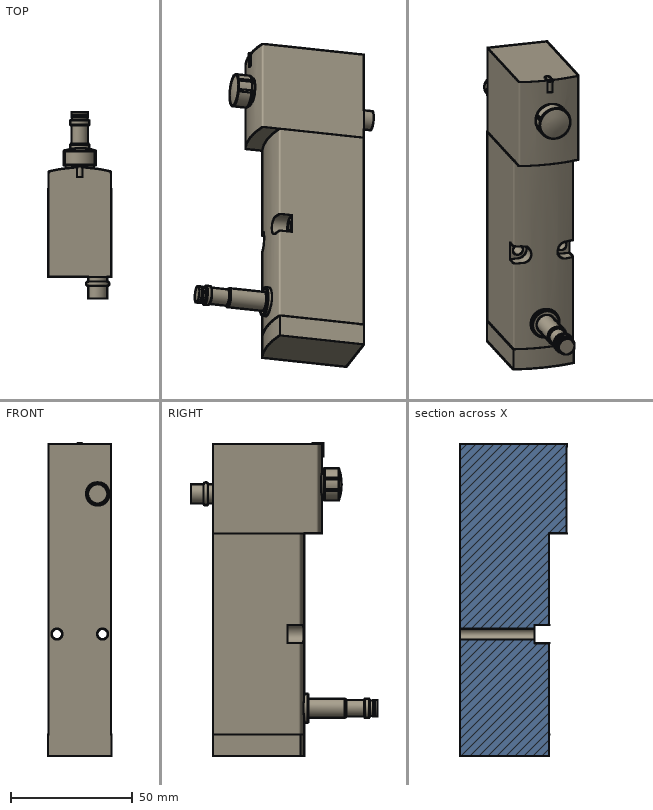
import cadquery as cq
import math

base_width = 26.2
body_width = 25.9
head_width = 25.8
base_height = 8.9
head_bottom = 91.8
housing_height = 128.7
body_crown = 37.8
head_crown = 45.1
crown_drop = 1.6
corner_radius = 0.9

mount_x = 9.4
mount_z = 50.3
mount_diameter = 4.3
slot_width = 7.4
slot_floor = 30.9

stub_x = 7.4
stub_z = 108.1
stub_diameter = 8.0
stub_end = -9.0
ring_y = -2.85
ring_half_width = 0.9
ring_diameter = 9.6

connector_z = 19.7
connector_end = 67.95
tip_groove_end = 66.8
tip_groove_start = 66.0
snap_ring_end = 64.9
snap_ring_start = 62.4
snap_ring_top_bevel = 0.5
snap_ring_bottom_bevel = 0.4
barrel_start = 55.1
shaft_end = 54.4
flange_end = 39.4
flange_chamfer = 0.4
flange_diameter = 12.0
shaft_diameter = 8.0
barrel_diameter = 6.9
tip_groove_diameter = 6.77
neck_diameter = 6.5

strip_width = 2.2
strip_rise = 0.48
strip_top_length = 4.0
strip_back_length = 5.2

cap_z = 112.05
cap_diameter = 13.4
cap_rim_diameter = 13.0
cap_neck_diameter = 11.8
cap_recess = 0.5
cap_seat = head_crown - cap_recess
cap_start = 45.9
cap_start_bevel = 0.4
cap_rim = 51.8
cap_dome_start = 52.1
cap_end = 53.2
cap_dome_height = cap_end - cap_dome_start
cap_dome_radius = ((cap_rim_diameter / 2) ** 2 + cap_dome_height**2) / (2 * cap_dome_height)
grip_diameter = 1.2
grip_outset = 0.35
grip_radius = cap_diameter / 2 + grip_outset
grip_angle = 20.5
grip_end = 51.1


def crowned_block(width, crown, bottom, top):
    """Block whose back face bulges in an arc across its width."""
    half = width / 2
    return (
        cq.Workplane("XY", origin=(0, 0, bottom))
        .moveTo(-half, 0)
        .lineTo(half, 0)
        .lineTo(half, crown - crown_drop)
        .threePointArc((0, crown), (-half, crown - crown_drop))
        .close()
        .extrude(top - bottom)
    )


def y_cylinder(diameter, start, end, x, z):
    """Cylinder along Y between two Y positions."""
    return (
        cq.Workplane("XZ", origin=(x, start, z))
        .circle(diameter / 2)
        .extrude(start - end)
    )


def turned(profile, x, z):
    """Solid of revolution about a Y axis through x, z."""
    return profile.close().revolve(360, (0, 0), (0, 1)).translate((x, 0, z))


def housing_blocks():
    """Base, middle and head, with rounded rear corners on the upper two."""
    base = crowned_block(base_width, body_crown, 0, base_height)
    middle = crowned_block(body_width, body_crown, base_height, head_bottom)
    head = crowned_block(head_width, head_crown, head_bottom, housing_height)
    blocks = base
    for block in (middle, head):
        rounded = block.edges("|Z").edges(">Y").fillet(corner_radius)
        blocks = blocks.union(rounded)
    return blocks


def mounting_cut(side):
    """Through hole and the rear slot that runs out through one side."""
    x = side * mount_x
    hole = y_cylinder(mount_diameter, 0, body_crown, x, mount_z)
    slot_end = y_cylinder(slot_width, slot_floor, body_crown, x, mount_z)
    slot_center = (x + side * slot_width / 2, (body_crown + slot_floor) / 2, mount_z)
    slot_run = (
        cq.Workplane("XY")
        .box(slot_width, body_crown - slot_floor, slot_width)
        .translate(slot_center)
    )
    return hole.union(slot_end).union(slot_run)


def front_stub():
    """Plain round stub with a rounded ring near its root."""
    stub = y_cylinder(stub_diameter, stub_end, 0, stub_x, stub_z)
    ring = (
        cq.Workplane("XY")
        .moveTo(0, ring_y - ring_half_width)
        .lineTo(stub_diameter / 2, ring_y - ring_half_width)
        .threePointArc(
            (ring_diameter / 2, ring_y),
            (stub_diameter / 2, ring_y + ring_half_width),
        )
        .lineTo(0, ring_y + ring_half_width)
    )
    return stub.union(turned(ring, stub_x, stub_z))


def rear_connector():
    """Stepped round connector with a flange, snap ring and grooved tip."""
    start = body_crown - crown_drop
    profile = (
        cq.Workplane("XY")
        .moveTo(0, start)
        .lineTo(flange_diameter / 2, start)
        .lineTo(flange_diameter / 2, flange_end - flange_chamfer)
        .lineTo(flange_diameter / 2 - flange_chamfer, flange_end)
        .lineTo(shaft_diameter / 2, flange_end)
        .lineTo(shaft_diameter / 2, shaft_end)
        .lineTo(barrel_diameter / 2, barrel_start)
        .lineTo(barrel_diameter / 2, snap_ring_start)
        .lineTo(shaft_diameter / 2, snap_ring_start + snap_ring_bottom_bevel)
        .lineTo(shaft_diameter / 2, snap_ring_end - snap_ring_top_bevel)
        .lineTo(neck_diameter / 2, snap_ring_end)
        .lineTo(neck_diameter / 2, tip_groove_start)
        .lineTo(tip_groove_diameter / 2, tip_groove_start)
        .lineTo(tip_groove_diameter / 2, tip_groove_end)
        .lineTo(barrel_diameter / 2, tip_groove_end)
        .lineTo(barrel_diameter / 2, connector_end)
        .lineTo(0, connector_end)
    )
    return turned(profile, 0, connector_z)


def strip_run(plane, origin, length):
    """Straight run of the strip, rounded across its width."""
    half = strip_width / 2
    return (
        cq.Workplane(plane, origin=origin)
        .moveTo(-half, -strip_rise)
        .lineTo(-half, 0)
        .threePointArc((0, strip_rise), (half, 0))
        .lineTo(half, -strip_rise)
        .close()
        .extrude(length)
    )


def indicator_strip():
    """L-shaped strip over the top rear edge of the head."""
    top_front = head_crown - strip_top_length
    back_bottom = housing_height - strip_back_length
    top_run = strip_run("XZ", (0, top_front, housing_height), -strip_top_length - strip_rise)
    back_run = strip_run("XY", (0, head_crown, back_bottom), strip_back_length)
    return top_run.union(back_run)


def make_cap():
    """Domed round cap on a narrower neck, with grip grooves on its sides."""
    profile = (
        cq.Workplane("XY")
        .moveTo(0, cap_seat)
        .lineTo(cap_neck_diameter / 2, cap_seat)
        .lineTo(cap_neck_diameter / 2, cap_start)
        .lineTo(cap_rim_diameter / 2, cap_start)
        .lineTo(cap_diameter / 2, cap_start + cap_start_bevel)
        .lineTo(cap_diameter / 2, cap_rim)
        .lineTo(cap_rim_diameter / 2, cap_dome_start)
        .radiusArc((0, cap_end), -cap_dome_radius)
    )
    cap = turned(profile, 0, cap_z)
    for angle in (grip_angle, 180 - grip_angle, 180 + grip_angle, -grip_angle):
        x = grip_radius * math.cos(math.radians(angle))
        z = cap_z + grip_radius * math.sin(math.radians(angle))
        cap = cap.cut(y_cylinder(grip_diameter, cap_start, grip_end, x, z))
    return cap


housing = housing_blocks()
for side in (-1, 1):
    housing = housing.cut(mounting_cut(side))
housing = housing.union(front_stub()).union(rear_connector()).union(indicator_strip())
housing = housing.cut(y_cylinder(cap_neck_diameter, cap_seat, head_crown, 0, cap_z))

cap = make_cap()

result = cq.Compound.makeCompound([housing.val(), cap.val()])